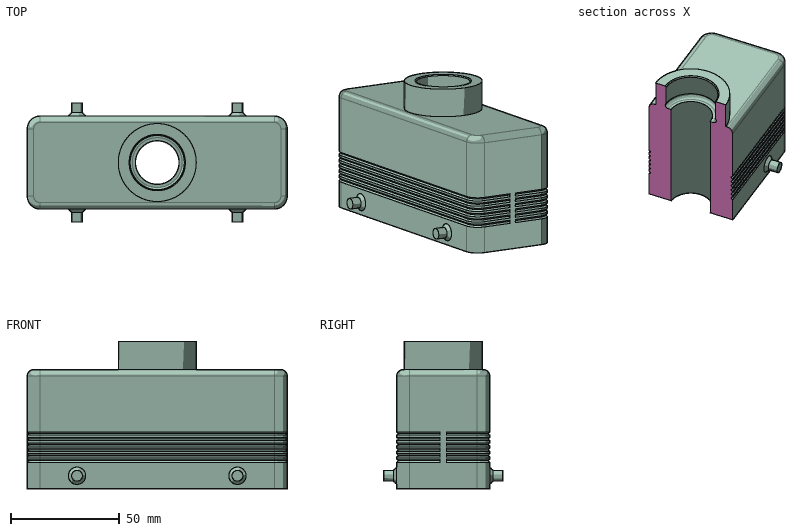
import cadquery as cq
import math

body_length = 120.0
body_width = 43.0
body_height = 55.0
corner_radius = 6.0
top_edge_radius = 3.0

entry_diameter = 36.0
entry_height = 13.0
bore_diameter = 25.0
bore_mouth_diameter = 26.0
relief_radius = 1.5
relief_diameter = bore_mouth_diameter
through_hole_diameter = 20.0

groove_count = 6
groove_pitch = 2.5
groove_height = 1.5
groove_wall_angle = 45.0
groove_band_bottom = 12.2
groove_gap = 3.0

pin_diameter = 5.0
pin_root_diameter = 8.0
pin_root_length = (pin_root_diameter - pin_diameter) / 2
pin_length = 6.0
pin_spacing = 74.0
pin_z = 6.0

overall_height = body_height + entry_height


def make_prism(bottom_z, height, taper=0):
    """Upright prism with the rounded outline of the body, narrowing upwards by the taper angle."""
    outline = cq.Sketch().rect(body_length, body_width).vertices().fillet(corner_radius)
    return cq.Workplane("XY", origin=(0, 0, bottom_z)).placeSketch(outline).extrude(height, taper=taper)


def make_body():
    return make_prism(0, body_height).faces(">Z").edges().fillet(top_edge_radius)


def make_groove_cutter(bottom_z):
    """Ring with a V section, open at the middle of both short ends."""
    middle_z = bottom_z + groove_height / 2
    lower_core = make_prism(bottom_z, groove_height / 2, groove_wall_angle)
    upper_core = lower_core.mirror("XY", (0, 0, middle_z))
    bridge = cq.Workplane("XY", origin=(0, 0, middle_z)).box(body_length, groove_gap, groove_height)
    return make_prism(bottom_z, groove_height).cut(lower_core).cut(upper_core).cut(bridge)


def make_pin(x, side):
    """Round pin with a conical root, pointing along Y on the given side (+1 or -1)."""
    wall_y = body_width / 2
    half_section = (
        cq.Workplane("XY")
        .moveTo(0, 0)
        .lineTo(pin_root_diameter / 2, 0)
        .lineTo(pin_root_diameter / 2, wall_y)
        .lineTo(pin_diameter / 2, wall_y + pin_root_length)
        .lineTo(pin_diameter / 2, wall_y + pin_length)
        .lineTo(0, wall_y + pin_length)
        .close()
    )
    pin = half_section.revolve(360, (0, 0, 0), (0, 1, 0))
    if side < 0:
        pin = pin.mirror("XZ")
    return pin.translate((x, 0, pin_z))


def make_entry_bore():
    """Bore with a chamfered mouth and a round relief groove above its ledge, plus the hole right through."""
    mouth_radius = bore_mouth_diameter / 2
    bore_radius = bore_diameter / 2
    hole_radius = through_hole_diameter / 2
    relief_outer_radius = relief_diameter / 2
    relief_center_radius = relief_outer_radius - relief_radius
    relief_center_z = body_height + relief_radius
    relief_top_z = relief_center_z + math.sqrt(relief_radius**2 - (bore_radius - relief_center_radius) ** 2)
    half_section = (
        cq.Workplane("XZ")
        .lineTo(hole_radius, 0)
        .lineTo(hole_radius, body_height)
        .lineTo(relief_center_radius, body_height)
        .threePointArc((relief_outer_radius, relief_center_z), (bore_radius, relief_top_z))
        .lineTo(bore_radius, overall_height - (mouth_radius - bore_radius))
        .lineTo(mouth_radius, overall_height)
        .lineTo(0, overall_height)
        .close()
    )
    return half_section.revolve(360, (0, 0, 0), (0, 1, 0))


result = make_body()
for index in range(groove_count):
    result = result.cut(make_groove_cutter(groove_band_bottom + index * groove_pitch))
for pin_x in (-pin_spacing / 2, pin_spacing / 2):
    for pin_side in (-1, 1):
        result = result.union(make_pin(pin_x, pin_side))
entry = cq.Workplane("XY").circle(entry_diameter / 2).extrude(overall_height)
result = result.union(entry).cut(make_entry_bore())